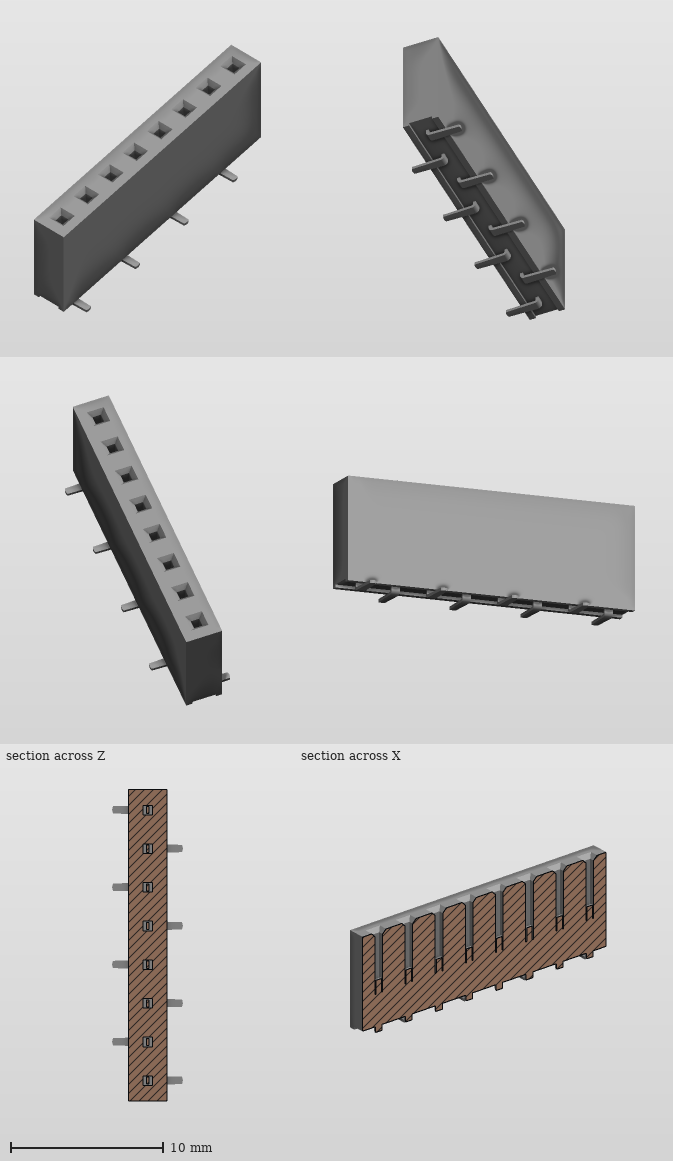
import cadquery as cq

position_count = 8
pitch = 2.54

housing_width = 2.54
housing_length = 20.52
overall_height = 7.4
standoff = 0.3
foot_height = 0.2
foot_width = 0.44
housing_height = overall_height - standoff
channel_width = housing_width - 2 * foot_width

funnel_mouth = 1.2
hole_side = 0.6
funnel_depth = (funnel_mouth - hole_side) / 2
hole_depth = 4.5
hole_floor = overall_height - hole_depth

contact_thickness = 0.2
contact_span = 4.64
strip_width = 0.6
blade_width = 0.5
blade_height = 1.0
lead_tip_width = 0.48
tip_bulge = 0.06
bend_inner_radius = 0.1


def make_housing():
    """Block with a channel along its underside that leaves two long feet."""
    block = cq.Workplane("XY").workplane(offset=standoff).box(
        housing_width, housing_length, housing_height, centered=(True, True, False)
    )
    channel = cq.Workplane("XY").workplane(offset=standoff).box(
        channel_width, housing_length, foot_height, centered=(True, True, False)
    )
    return block.cut(channel)


def make_socket(y):
    """Cutting volume of one socket opening."""
    funnel = (
        cq.Workplane("XY", origin=(0, y, overall_height))
        .rect(funnel_mouth, funnel_mouth)
        .workplane(offset=-funnel_depth)
        .rect(hole_side, hole_side)
        .loft(ruled=True)
    )
    hole = cq.Workplane("XY", origin=(0, y, hole_floor)).box(
        hole_side, hole_side, hole_depth - funnel_depth, centered=(True, True, False)
    )
    return funnel.union(hole)


def make_contact(y, side):
    """Contact whose lead points to -X (side = -1) or +X (side = 1)."""
    half_thickness = contact_thickness / 2
    bend_outer_radius = bend_inner_radius + contact_thickness
    bend_end = bend_inner_radius + half_thickness
    lead_tip = contact_span / 2
    tip_corner = lead_tip - tip_bulge

    strip = (
        cq.Workplane("XZ")
        .moveTo(-half_thickness, hole_floor)
        .lineTo(-half_thickness, bend_outer_radius)
        .radiusArc((bend_end, 0), -bend_outer_radius)
        .lineTo(bend_end, contact_thickness)
        .radiusArc((half_thickness, bend_outer_radius), bend_inner_radius)
        .lineTo(half_thickness, hole_floor)
        .close()
        .extrude(strip_width / 2, both=True)
    )
    lead = (
        cq.Workplane("XY")
        .moveTo(bend_end, -strip_width / 2)
        .lineTo(tip_corner, -lead_tip_width / 2)
        .threePointArc((lead_tip, 0), (tip_corner, lead_tip_width / 2))
        .lineTo(bend_end, strip_width / 2)
        .close()
        .extrude(contact_thickness)
    )
    blade = cq.Workplane("XY", origin=(0, 0, hole_floor)).box(
        contact_thickness, blade_width, blade_height, centered=(True, True, False)
    )
    contact = strip.union(lead).union(blade)
    if side < 0:
        contact = contact.mirror("YZ")
    return contact.translate((0, y, 0))


result = make_housing()
first_y = -pitch * (position_count - 1) / 2
for index in range(position_count):
    socket_y = first_y + index * pitch
    lead_side = 1 if index % 2 == 0 else -1
    result = result.cut(make_socket(socket_y))
    result = result.union(make_contact(socket_y, lead_side))